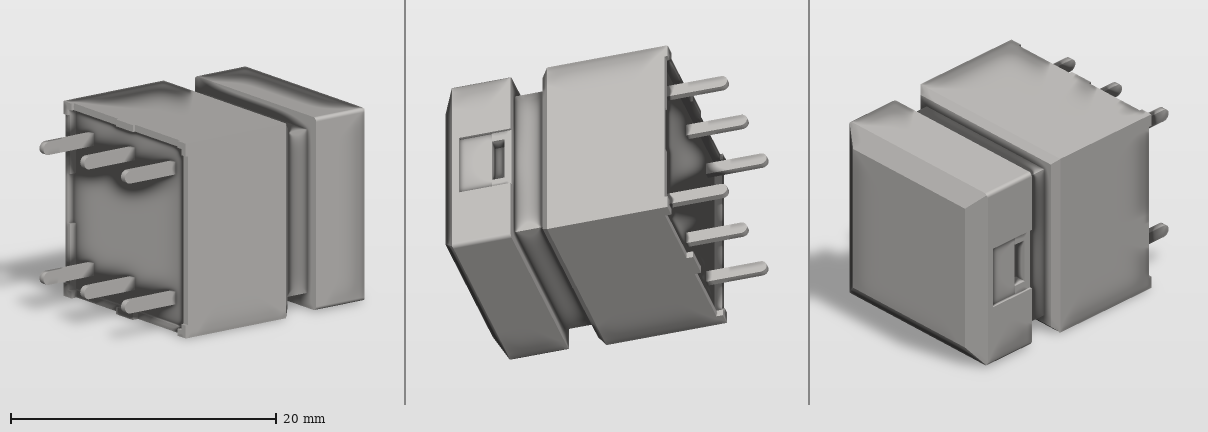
import cadquery as cq


housing_side = 15.25
housing_length = 10.0
housing_chamfer = 0.5
foot_height = 0.22
bottom_foot_height = 0.5
corner_foot_length = 1.01
middle_foot_length = 2.07

base_side = 14.17
base_thickness = 1.0
base_rear = 0.8
base_tab_width = 3.92
base_tab_reach = 0.3
base_front = base_rear + base_thickness

terminal_tip = -4.0
terminal_thickness = 0.5
terminal_width = 1.0
terminal_pitch = 5.08
terminal_columns = (-terminal_pitch, 0, terminal_pitch)
terminal_rows = (-terminal_pitch, terminal_pitch)

plunger_side = 12.8
plunger_length = 2.4
cap_rear = housing_length + plunger_length

cap_side = 15.1
cap_top_side = 12.19
cap_length = 5.59
cap_bevel_length = 1.0
cap_corner_radius = 0.3
cap_wall_length = cap_length - cap_bevel_length

recess_width = 5.13
recess_length = 4.05
recess_depth = 0.26
shallow_step_length = 1.55
shallow_step_depth = 0.2
slot_width = 3.6
slot_length = 1.0
slot_depth = (cap_side - plunger_side) / 2


def block(x_size, y_start, y_end, z_size, x_centre=0.0, z_centre=0.0):
    """A box from y_start to y_end, centred on x_centre and z_centre."""
    return (
        cq.Workplane("XY")
        .box(x_size, y_end - y_start, z_size)
        .translate((x_centre, (y_start + y_end) / 2, z_centre))
    )


def base_plate(y_start, y_end):
    """The square outline of the base with its tab on the -X side."""
    plate = block(base_side, y_start, y_end, base_side)
    tab_centre = -(base_side + base_tab_reach) / 2
    return plate.union(block(base_tab_reach, y_start, y_end, base_tab_width, x_centre=tab_centre))


def make_housing():
    body = block(housing_side, 0, housing_length, housing_side)
    body = body.faces(">Y").chamfer(housing_chamfer)

    between_corners = housing_side - 2 * corner_foot_length
    body = body.cut(block(housing_side, 0, foot_height, between_corners))
    half_side = housing_side / 2
    for height, z in ((foot_height, half_side / 2), (bottom_foot_height, -half_side / 2)):
        relief = block(between_corners, 0, height, half_side, z_centre=z)
        middle_foot = block(middle_foot_length, 0, height, half_side, z_centre=z)
        body = body.cut(relief.cut(middle_foot))
    return body.cut(base_plate(0, base_front))


def make_terminal(x, z):
    """A flat blade with a fully rounded tip."""
    tip_radius = terminal_width / 2
    tip_centre = terminal_tip + tip_radius
    blade = (
        cq.Workplane("YZ")
        .moveTo(base_rear, -tip_radius)
        .lineTo(tip_centre, -tip_radius)
        .threePointArc((terminal_tip, 0), (tip_centre, tip_radius))
        .lineTo(base_rear, tip_radius)
        .close()
        .extrude(terminal_thickness / 2, both=True)
    )
    return blade.translate((x, 0, z))


def make_base():
    base = base_plate(base_rear, base_front)
    for x in terminal_columns:
        for z in terminal_rows:
            base = base.union(make_terminal(x, z))
    return base


def make_plunger():
    return block(plunger_side, housing_length, cap_rear, plunger_side)


def cap_recess(y_start, y_end, width, depth):
    """A cutter that goes to the given depth into the -X side of the cap."""
    return block(depth, y_start, y_end, width, x_centre=(depth - cap_side) / 2)


def make_cap():
    wall_end = cap_rear + cap_wall_length
    cap_face = cap_rear + cap_length
    wall = block(cap_side, cap_rear, wall_end, cap_side).edges("|Y").fillet(cap_corner_radius)
    bevel = (
        cq.Workplane("XZ", origin=(0, wall_end, 0))
        .rect(cap_side, cap_side)
        .workplane(offset=-cap_bevel_length)
        .rect(cap_top_side, cap_top_side)
        .loft()
    )
    rounded_limit = block(cap_side, wall_end, cap_face, cap_side)
    rounded_limit = rounded_limit.edges("|Y").fillet(cap_corner_radius)
    cap = wall.union(bevel.intersect(rounded_limit))

    step_end = cap_rear + shallow_step_length
    recess_end = cap_rear + recess_length
    cap = cap.cut(cap_recess(cap_rear, step_end, recess_width, shallow_step_depth))
    cap = cap.cut(cap_recess(step_end, recess_end, recess_width, recess_depth))
    return cap.cut(cap_recess(step_end - slot_length, step_end, slot_width, slot_depth))


housing = make_housing()
base = make_base()
plunger = make_plunger()
cap = make_cap()

result = cq.Compound.makeCompound([housing.val(), base.val(), plunger.val(), cap.val()])